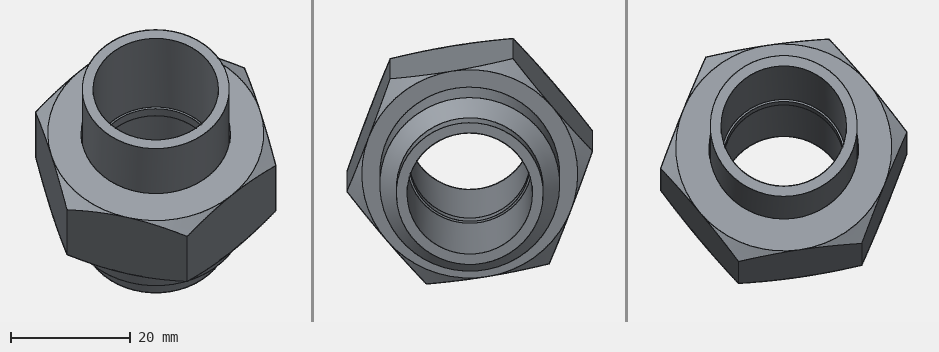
import cadquery as cq
import math


total_height = 41.0
pipe_diameter = 24.5
pipe_bore = 20.9

thread_diameter = 30.0
body_pipe_length = 3.1
body_cone_height = (thread_diameter - pipe_diameter) / 2

nut_flats = 36.0
nut_corners = nut_flats / math.cos(math.radians(30))
nut_height = 16.0
nut_bottom = 12.5
nut_top = nut_bottom + nut_height
nut_lip_thickness = 4.0
nut_lip_bore = 24.9
nut_chamfer_angle = 30.0

flange_thickness = 3.0
seal_thickness = 2.0
seal_bore = 20.2
flange_top = nut_top - nut_lip_thickness
flange_bottom = flange_top - flange_thickness
seal_bottom = flange_bottom - seal_thickness


def cylinder(diameter, bottom, top):
    """Upright cylinder on the Z axis between two heights."""
    return cq.Workplane("XY").workplane(offset=bottom).circle(diameter / 2).extrude(top - bottom)


def make_body():
    """Weld end, 45 degree shoulder and threaded barrel, revolved around Z."""
    bore_radius = pipe_bore / 2
    pipe_radius = pipe_diameter / 2
    thread_radius = thread_diameter / 2
    return (
        cq.Workplane("XZ")
        .moveTo(bore_radius, 0)
        .lineTo(pipe_radius, 0)
        .lineTo(pipe_radius, body_pipe_length)
        .lineTo(thread_radius, body_pipe_length + body_cone_height)
        .lineTo(thread_radius, seal_bottom)
        .lineTo(bore_radius, seal_bottom)
        .close()
        .revolve(360, (0, 0, 0), (0, 1, 0))
    )


def make_seal():
    """Flat ring between body and tailpiece, its bore slightly narrower than theirs."""
    return cylinder(thread_diameter, seal_bottom, flange_bottom).cut(
        cylinder(seal_bore, seal_bottom, flange_bottom)
    )


def make_tailpiece():
    """Pipe rising through the nut lip, with a flange held under the lip."""
    flange = cylinder(thread_diameter, flange_bottom, flange_top)
    pipe = cylinder(pipe_diameter, flange_bottom, total_height)
    bore = cylinder(pipe_bore, flange_bottom, total_height)
    return flange.union(pipe).cut(bore)


def make_nut_envelope():
    """Turned blank whose conical ends chamfer the hexagon corners."""
    face_radius = nut_flats / 2
    corner_radius = nut_corners / 2
    chamfer_height = (corner_radius - face_radius) * math.tan(math.radians(nut_chamfer_angle))
    return (
        cq.Workplane("XZ")
        .moveTo(0, nut_bottom)
        .lineTo(face_radius, nut_bottom)
        .lineTo(corner_radius, nut_bottom + chamfer_height)
        .lineTo(corner_radius, nut_top - chamfer_height)
        .lineTo(face_radius, nut_top)
        .lineTo(0, nut_top)
        .close()
        .revolve(360, (0, 0, 0), (0, 1, 0))
    )


def make_nut():
    """Hexagon with corners on X, chamfered at both ends, with a threaded bore below the lip."""
    hexagon = (
        cq.Workplane("XY")
        .workplane(offset=nut_bottom)
        .polygon(6, nut_corners)
        .extrude(nut_height)
    )
    threaded_bore = cylinder(thread_diameter, nut_bottom, flange_top)
    lip_bore = cylinder(nut_lip_bore, flange_top, nut_top)
    return hexagon.intersect(make_nut_envelope()).cut(threaded_bore).cut(lip_bore)


body = make_body()
seal = make_seal()
tailpiece = make_tailpiece()
nut = make_nut()

result = cq.Compound.makeCompound([body.val(), seal.val(), tailpiece.val(), nut.val()])